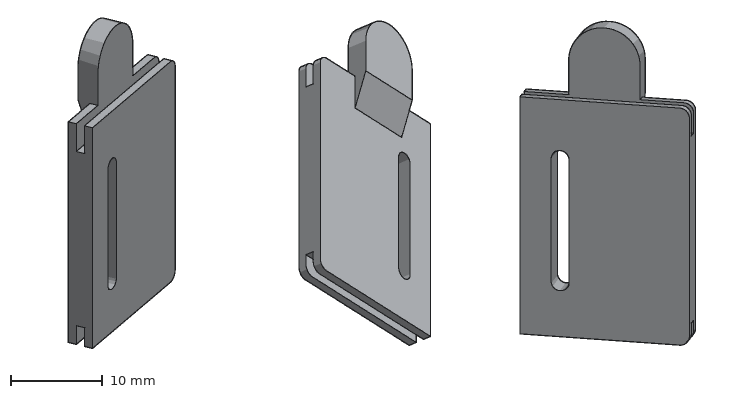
import cadquery as cq

total_height = 35.0
plate_width = 19.0
plate_thickness = 3.0
plate_height = 27.1
corner_radius = 1.1

groove_width = 1.0
top_groove_depth = 3.4
bottom_groove_depth = 2.3
wall = (plate_thickness - groove_width) / 2

tab_offset = 1.5
tab_width = 8.0
tab_radius = tab_width / 2
tab_center_y = 9.0
ramp_bottom = 23.03
ramp_top = 27.2

slot_width = 2.0
slot_length = 16.0
slot_center_y = 4.5
slot_center_z = 13.25


def make_plate():
    """Plate with its front face on X = 0 and rounded corners on the +Y side."""
    plate = cq.Workplane("XY").box(plate_thickness, plate_width, plate_height, centered=False)
    return plate.edges("|X and >Y").fillet(corner_radius)


def make_groove(bottom, depth):
    """Cutter for a centered groove running the full plate width."""
    groove = cq.Workplane("XY").box(groove_width, plate_width, depth, centered=False)
    return groove.translate((wall, 0, bottom))


def make_slot():
    """Cutter for the upright round-ended slot."""
    return (
        cq.Workplane("YZ")
        .center(slot_center_y, slot_center_z)
        .slot2D(slot_length, slot_width, 90)
        .extrude(plate_thickness)
    )


def make_tab():
    """Round-topped tab with a ramp down to the plate face."""
    side_profile = [
        (wall, ramp_bottom),
        (0, ramp_bottom),
        (-tab_offset, ramp_top),
        (-tab_offset, total_height),
        (wall, total_height),
    ]
    tab = (
        cq.Workplane("XZ", origin=(0, tab_center_y, 0))
        .polyline(side_profile)
        .close()
        .extrude(tab_radius, both=True)
    )
    arch_center_z = total_height - tab_radius
    arch = (
        cq.Workplane("YZ", origin=(-tab_offset, tab_center_y, 0))
        .moveTo(-tab_radius, ramp_bottom)
        .lineTo(-tab_radius, arch_center_z)
        .threePointArc((0, total_height), (tab_radius, arch_center_z))
        .lineTo(tab_radius, ramp_bottom)
        .close()
        .extrude(tab_offset + wall)
    )
    return tab.intersect(arch)


result = (
    make_plate()
    .cut(make_groove(plate_height - top_groove_depth, top_groove_depth))
    .cut(make_groove(0, bottom_groove_depth))
    .cut(make_slot())
    .union(make_tab())
)